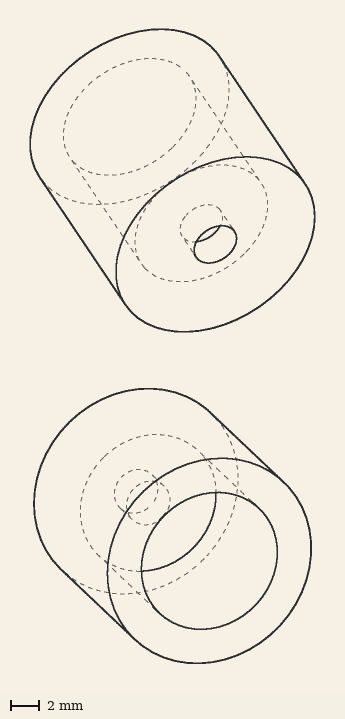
import cadquery as cq

length = 15.0
outer_diameter = 15.0
bore_diameter = 10.0
screw_hole_diameter = 3.2

wall = (outer_diameter - bore_diameter) / 2
bore_depth = length - wall

body = cq.Workplane("YZ", origin=(-length / 2, 0, 0)).circle(outer_diameter / 2).extrude(length)

result = body.faces("<X").workplane().cboreHole(screw_hole_diameter, bore_diameter, bore_depth)